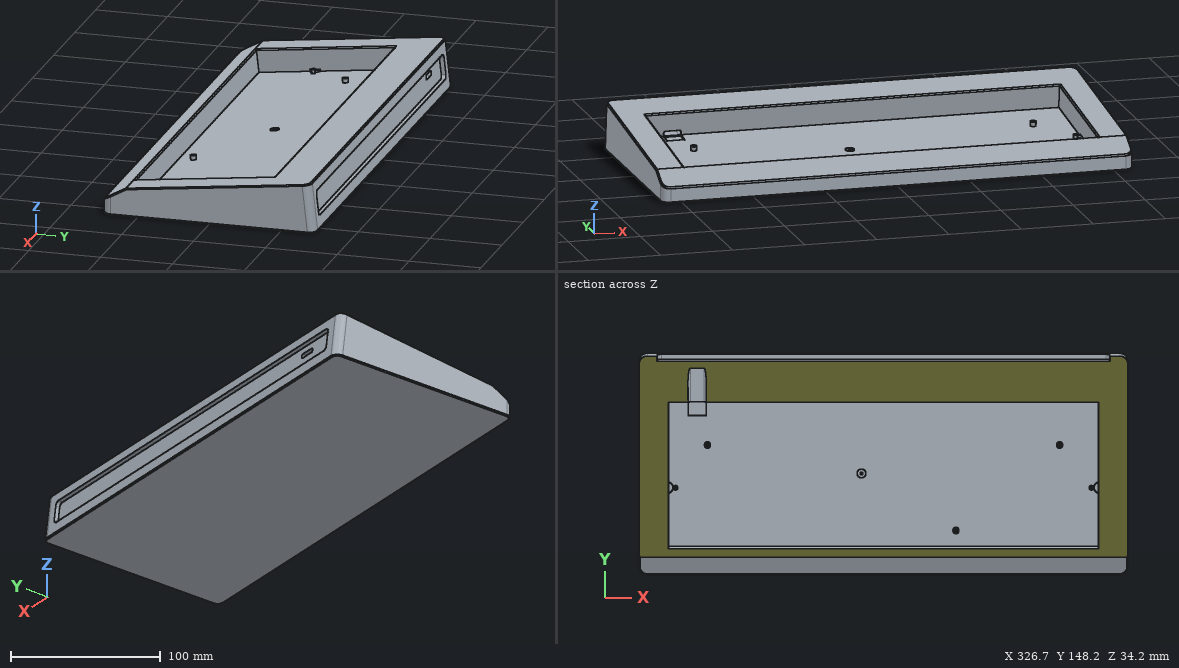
import cadquery as cq
import math

LENGTH = 326.7
WIDTH = 148.3
HEIGHT = 34.3
DECK_TILT = 6.5
FRONT_HEIGHT = 10.8
BEVEL_RUN = 16.3
CORNER_RADIUS = 5.5
EDGE_CHAMFER = 0.82

TRAY_LENGTH = 287.0
TRAY_DEPTH = 16.3
TRAY_FRONT = 1.0
TRAY_BACK = 98.0
RIM_CHAMFER = 1.0

POST_DIAMETER = 4.0
POST_HEIGHT = 3.0
POST_HOLE = 1.7
POST_PLACES = [(-117.5, 69.3), (117.5, 69.3), (48.5, 11.8)]
DISC_DIAMETER = 6.0
DISC_HEIGHT = 0.3
DISC_PLACE = (-14.7, 50.0)

PIN_DIAMETER = 2.7
PIN_X = 139.0
PIN_BACK = 40.5
BOSS_DIAMETER = 7.5
BOSS_X = 144.5
BOSS_HEIGHT = 1.3

CABLE_X = -124.5
CABLE_WIDTH = 12.0
NOTCH_LENGTH = 9.0
NOTCH_DEPTH = 1.0
TUNNEL_HEIGHT = 3.3
TUNNEL_CORNER_RADIUS = 1.47

RECESS_LENGTH = 302.5
RECESS_HEIGHT = 17.3
RECESS_DEPTH = 3.3
RECESS_CORNER_RADIUS = 3.0
RECESS_TOP_DROP = 8.2

tilt = math.radians(DECK_TILT)
front_y = -WIDTH / 2
back_y = WIDTH / 2
back_top_y = back_y - HEIGHT * math.tan(tilt)
deck_front_y = front_y + BEVEL_RUN
deck_front_z = HEIGHT - (back_top_y - deck_front_y) * math.tan(tilt)
deck_run = (back_top_y - deck_front_y) / math.cos(tilt)

deck_normal = cq.Vector(0, -math.sin(tilt), math.cos(tilt))
deck_slope = cq.Vector(0, math.cos(tilt), math.sin(tilt))
along_deck_normal = cq.selectors.ParallelDirSelector(deck_normal)
along_deck_slope = cq.selectors.ParallelDirSelector(deck_slope)


def deck_plane(drop):
    """Workplane parallel to the deck, lying the given distance below it."""
    origin = cq.Vector(0, deck_front_y, deck_front_z) - deck_normal * drop
    return cq.Workplane(cq.Plane(origin, xDir=(1, 0, 0), normal=deck_normal))


def deck_box(x, length, back_start, back_end, drop, height):
    """Box square to the deck, rising by height from the given drop below it."""
    middle = (back_start + back_end) / 2
    return deck_plane(drop).center(x, middle).rect(length, back_end - back_start).extrude(height)


def floor_cylinder(place, diameter, height):
    return deck_plane(TRAY_DEPTH).center(*place).circle(diameter / 2).extrude(height)


def make_body():
    profile = [
        (front_y, 0),
        (back_y, 0),
        (back_top_y, HEIGHT),
        (deck_front_y, deck_front_z),
        (front_y, FRONT_HEIGHT),
    ]
    wedge = cq.Workplane("YZ").polyline(profile).close().extrude(LENGTH / 2, both=True)
    wedge = wedge.edges(along_deck_normal).fillet(CORNER_RADIUS)
    wedge = wedge.faces("<Y").edges("|Z").fillet(CORNER_RADIUS)

    top_faces = [face for face in wedge.faces().vals() if face.normalAt().z > 0.5]
    crease = cq.selectors.NearestToPointSelector((0, deck_front_y, deck_front_z))
    top_edges = wedge.newObject(top_faces).edges()
    crease_edge = wedge.edges(crease).val()
    outer_edges = [edge for edge in top_edges.vals() if not edge.isSame(crease_edge)]
    wedge = wedge.newObject(outer_edges).chamfer(EDGE_CHAMFER)
    wedge = wedge.faces("<Z").edges().chamfer(EDGE_CHAMFER)
    return wedge


def make_tray():
    pocket = deck_box(0, TRAY_LENGTH, TRAY_FRONT, TRAY_BACK, TRAY_DEPTH, TRAY_DEPTH)
    rim = (
        deck_plane(RIM_CHAMFER)
        .center(0, (TRAY_FRONT + TRAY_BACK) / 2)
        .rect(TRAY_LENGTH, TRAY_BACK - TRAY_FRONT)
        .extrude(RIM_CHAMFER, taper=-45)
    )
    return pocket.union(rim)


def make_back_recess():
    bottom_drop = RECESS_TOP_DROP + RECESS_HEIGHT
    recess = deck_box(
        0, RECESS_LENGTH, deck_run - RECESS_DEPTH, deck_run + RECESS_DEPTH, bottom_drop, RECESS_HEIGHT
    )
    return recess.edges(along_deck_slope).fillet(RECESS_CORNER_RADIUS)


def make_cable_passage():
    notch = deck_box(
        CABLE_X, CABLE_WIDTH, TRAY_BACK - NOTCH_LENGTH, TRAY_BACK, TRAY_DEPTH + NOTCH_DEPTH, NOTCH_DEPTH
    )
    tunnel = deck_box(CABLE_X, CABLE_WIDTH, TRAY_BACK, deck_run, TRAY_DEPTH, TUNNEL_HEIGHT)
    return notch.union(tunnel.edges(along_deck_slope).fillet(TUNNEL_CORNER_RADIUS))


def add_post(part, place, diameter, height):
    """Add a round post with an open hole as deep as the post is tall."""
    part = part.union(floor_cylinder(place, diameter, height))
    return part.cut(floor_cylinder(place, POST_HOLE, height))


result = make_body().cut(make_tray()).cut(make_back_recess()).cut(make_cable_passage())

for post_place in POST_PLACES:
    result = add_post(result, post_place, POST_DIAMETER, POST_HEIGHT)

result = add_post(result, DISC_PLACE, DISC_DIAMETER, DISC_HEIGHT)

for side in (-1, 1):
    boss_place = (side * BOSS_X, PIN_BACK)
    result = result.union(floor_cylinder(boss_place, BOSS_DIAMETER, BOSS_HEIGHT))
    result = add_post(result, (side * PIN_X, PIN_BACK), PIN_DIAMETER, POST_HEIGHT)